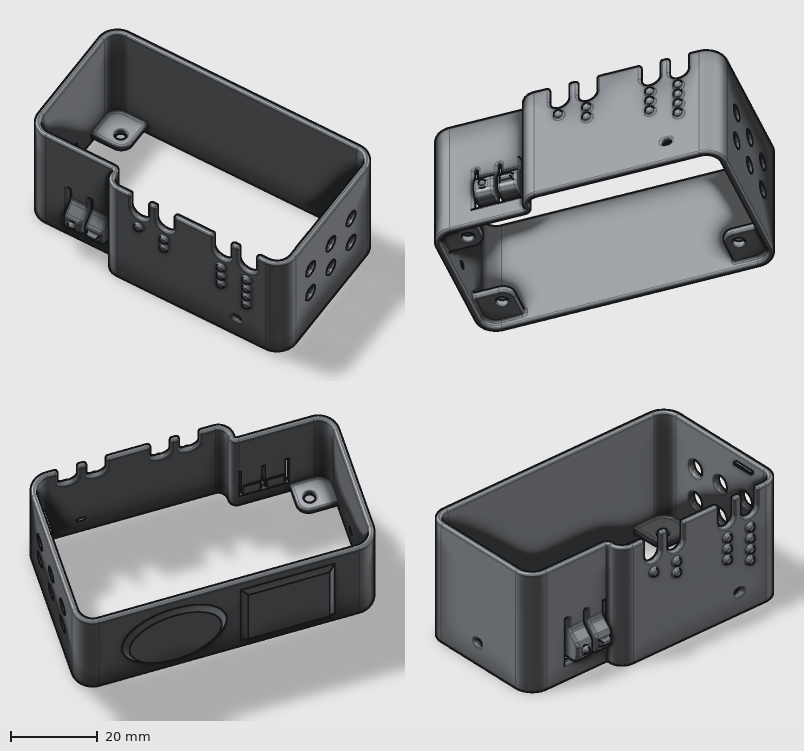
import cadquery as cq
import math

LENGTH = 73.0
DEPTH = 41.0
HEIGHT = 32.6
TOLERANCE = 0.01
WALL = 1.5
CORNER_RADIUS = 5.1
STEP_X = 23.6
STEP_DEPTH = 4.6
STEP_HOLLOW_RADIUS = 0.45
STEP_NOSE_RADIUS = 3.9
EDGE_FILLET = 0.65

SCREW_SPACING_X = 58.0
SCREW_SPACING_Y = 23.0
SCREW_X = (LENGTH - SCREW_SPACING_X) / 2
SCREW_BACK_Y = DEPTH - 7.45
SCREW_FRONT_Y = SCREW_BACK_Y - SCREW_SPACING_Y
SCREW_DIAMETER = 2.85
SCREW_HOLE_FILLET = 0.3
TAB_REACH = 3.4
TAB_CORNER_RADIUS = 3.0
TAB_BOTTOM = 2.05
TAB_TOP = 4.0
TAB_FILLET = 0.6

NOTCH_CENTERS = (33.6, 40.5, 56.0, 62.9)
NOTCH_WIDTH = 4.7
NOTCH_ARC_Z = 28.0
NOTCH_MOUTH_RADIUS = 0.7
STUD_TOP_Z = 22.9
STUD_PITCH = 3.0
STUD_DIAMETER = 2.1
STUD_HEIGHT = 0.95
STUD_FLARE = 0.45
STUD_TIP_FILLET = 0.45

SLOT_LENGTH = 2.2
SLOT_HEIGHT = 1.5
SLOT_Z = 6.35
FRONT_SLOT_X = 59.85
LEFT_SLOT_Y = 23.1

WINDOW_LEFT = 11.0
WINDOW_BOTTOM = 5.0
WINDOW_TOP = 17.1
BUTTON_GAP = 0.9
BUTTON_WIDTH = 4.9
BUTTON_RISE = 3.0
BUTTON_BOTTOM = 5.8
BUTTON_SHOULDER_Z = 10.8
BUTTON_ROUND = 2.0
BUTTON_MARK_Z = 8.8
DOT_DIAMETER = 1.7
BAR_LENGTH = 3.1
BAR_HEIGHT = 1.5
BAR_FLARE = 0.2
WINDOW_CORNER_RADIUS = 0.4
PAD_WIDTH = 4.1
PAD_HEIGHT = 4.1
PAD_THICKNESS = 0.3

VENT_DIAMETER = 4.0
VENT_PITCH = 8.75
VENT_FIRST_Y = 11.5
VENT_FIRST_Z = 12.4
VENT_COLUMNS = 3
VENT_ROWS = 2
CATCH_Y = 11.5
CATCH_Z = 30.1
CATCH_LENGTH = 6.05
CATCH_REACH = 0.8
CATCH_HEIGHT = 0.5

PLATE_LEFT = 11.0
PLATE_RIGHT = 33.7
DISC_X = 49.8
PANEL_BOTTOM = 3.6
PANEL_TOP = 28.9
PANEL_RISE = 1.0
PANEL_BEVEL = 1.5


def stepped_block(inset):
    """Solid with the frame's plan outline, moved inwards by inset."""
    left, right = inset, LENGTH - inset
    front, back = inset, DEPTH - inset
    step_x, step_y = STEP_X + inset, STEP_DEPTH + inset
    corner = CORNER_RADIUS - inset
    corners = [
        ((left, step_y), corner),
        ((step_x, step_y), STEP_HOLLOW_RADIUS + inset),
        ((step_x, front), STEP_NOSE_RADIUS - inset),
        ((right, front), corner),
        ((right, back), corner),
        ((left, back), corner),
    ]
    block = cq.Workplane("XY").polyline([point for point, _ in corners]).close().extrude(HEIGHT)
    for (x, y), radius in corners:
        block = block.edges(cq.NearestToPointSelector((x, y, HEIGHT / 2))).fillet(radius)
    return block


def box(x0, x1, y0, y1, z0, z1):
    return cq.Workplane("XY").box(x1 - x0, y1 - y0, z1 - z0, centered=False).translate((x0, y0, z0))


def edges_near(x0, x1, y0, y1, z0, z1):
    """Selector of the edges that lie wholly inside a box, with a small tolerance."""
    low = (x0 - TOLERANCE, y0 - TOLERANCE, z0 - TOLERANCE)
    high = (x1 + TOLERANCE, y1 + TOLERANCE, z1 + TOLERANCE)
    return cq.selectors.BoxSelector(low, high, boundingbox=True)


def front_profile(y):
    """Workplane facing -Y at depth y; local axes are X and Z, extruding negatively goes to +Y."""
    return cq.Workplane("XZ", origin=(0, y, 0))


def notched_frame():
    """Open frame with round-bottomed notches in its front rim and all rims rounded."""
    frame = stepped_block(0).cut(stepped_block(WALL))
    half = NOTCH_WIDTH / 2
    for x in NOTCH_CENTERS:
        notch = (
            front_profile(0)
            .moveTo(x - half, HEIGHT)
            .lineTo(x - half, NOTCH_ARC_Z)
            .threePointArc((x, NOTCH_ARC_Z - half), (x + half, NOTCH_ARC_Z))
            .lineTo(x + half, HEIGHT)
            .close()
            .extrude(-WALL)
        )
        frame = frame.cut(notch)
    notch_mouths = edges_near(CORNER_RADIUS, LENGTH - CORNER_RADIUS, 0, WALL, HEIGHT, HEIGHT)
    frame = frame.edges(notch_mouths).edges("|Y").fillet(NOTCH_MOUTH_RADIUS)
    first = NOTCH_CENTERS[0] - NOTCH_WIDTH
    last = NOTCH_CENTERS[-1] + NOTCH_WIDTH
    bottom = NOTCH_ARC_Z - NOTCH_WIDTH
    rims = edges_near(0, LENGTH, 0, DEPTH, 0, 0) + edges_near(0, LENGTH, 0, DEPTH, HEIGHT, HEIGHT)
    for y in (0, WALL):
        rims = rims + edges_near(first, last, y, y, bottom, HEIGHT)
    return frame.edges(rims).fillet(EDGE_FILLET)


def screw_tab(x, y, side_x, side_y):
    """Corner plate around the screw at x, y, running to the walls on its sides side_x and side_y."""
    tip_x = x - side_x * TAB_REACH
    tip_y = y - side_y * TAB_REACH
    root_x = x + side_x * SCREW_X
    root_y = y + side_y * SCREW_X
    plate = box(
        min(tip_x, root_x), max(tip_x, root_x), min(tip_y, root_y), max(tip_y, root_y), TAB_BOTTOM, TAB_TOP
    )
    tip_edge = cq.NearestToPointSelector((tip_x, tip_y, (TAB_BOTTOM + TAB_TOP) / 2))
    return plate.edges(tip_edge).fillet(TAB_CORNER_RADIUS)


def add_screw_tabs(frame):
    tabs = [
        (SCREW_X, SCREW_BACK_Y, -1, 1),
        (LENGTH - SCREW_X, SCREW_BACK_Y, 1, 1),
        (SCREW_X, SCREW_FRONT_Y, -1, -1),
    ]
    core = stepped_block(WALL / 2)
    for tab in tabs:
        frame = frame.union(screw_tab(*tab).intersect(core))
    inside = edges_near(
        WALL / 2, LENGTH - WALL / 2, STEP_DEPTH + WALL / 2, DEPTH - WALL / 2, TAB_BOTTOM, TAB_TOP
    )
    frame = frame.edges(inside).fillet(TAB_FILLET)
    for x, y, _, _ in tabs:
        hole = cq.Workplane("XY", origin=(x, y, 0)).circle(SCREW_DIAMETER / 2).extrude(HEIGHT)
        frame = frame.cut(hole)
        radius = SCREW_DIAMETER / 2
        rims = edges_near(x - radius, x + radius, y - radius, y + radius, TAB_BOTTOM, TAB_TOP)
        frame = frame.edges(rims).edges("%CIRCLE").fillet(SCREW_HOLE_FILLET)
    return frame


def spring_button(x):
    """Button on a spring strip hanging from the top of the window, left side at x."""
    nose = STEP_DEPTH - BUTTON_RISE
    back = STEP_DEPTH + WALL
    slope_top = BUTTON_SHOULDER_Z + BUTTON_RISE
    outline = [
        (back, BUTTON_BOTTOM),
        (back, WINDOW_TOP),
        (STEP_DEPTH, WINDOW_TOP),
        (STEP_DEPTH, slope_top),
        (nose, BUTTON_SHOULDER_Z),
        (nose, BUTTON_BOTTOM),
    ]
    button = cq.Workplane("YZ", origin=(x, 0, 0)).polyline(outline).close().extrude(BUTTON_WIDTH)
    for y, z in outline[3:]:
        bend = cq.NearestToPointSelector((x + BUTTON_WIDTH / 2, y, z))
        button = button.edges(bend).fillet(BUTTON_ROUND)
    return button


def stud(x, z, y, diameter):
    """Round stud with a flared base and a rounded tip, standing on the front face at depth y."""
    radius = diameter / 2
    arc_mid = 1 - math.sqrt(0.5)
    flare = STUD_FLARE
    tip = STUD_TIP_FILLET
    return (
        cq.Workplane("XY")
        .moveTo(0, WALL / 2)
        .lineTo(radius + flare, WALL / 2)
        .lineTo(radius + flare, 0)
        .threePointArc((radius + flare * arc_mid, -flare * arc_mid), (radius, -flare))
        .lineTo(radius, tip - STUD_HEIGHT)
        .threePointArc((radius - tip * arc_mid, tip * arc_mid - STUD_HEIGHT), (radius - tip, -STUD_HEIGHT))
        .lineTo(0, -STUD_HEIGHT)
        .close()
        .revolve(360, (0, 0, 0), (0, 1, 0))
        .translate((x, y, z))
    )


def add_spring_buttons(frame):
    back = STEP_DEPTH + WALL
    window_right = STEP_X - STEP_HOLLOW_RADIUS
    frame = frame.cut(box(WINDOW_LEFT, window_right, STEP_DEPTH, back, WINDOW_BOTTOM, WINDOW_TOP))
    pitch = BUTTON_WIDTH + BUTTON_GAP
    lefts = [WINDOW_LEFT + BUTTON_GAP + i * pitch for i in range(2)]
    for x in lefts:
        frame = frame.union(spring_button(x))
    gap_ends = [WINDOW_LEFT + i * pitch for i in range(2)]
    for x in gap_ends:
        corners = edges_near(x, x + BUTTON_GAP, STEP_DEPTH, back, WINDOW_TOP, WINDOW_TOP)
        frame = frame.edges(corners).edges("|Y").fillet(WINDOW_CORNER_RADIUS)
    button_right = lefts[-1] + BUTTON_WIDTH
    front = STEP_DEPTH
    nose = STEP_DEPTH - BUTTON_RISE
    arrises = edges_near(WINDOW_LEFT, button_right, nose, front + WALL / 2, WINDOW_BOTTOM, WINDOW_TOP)
    window_bottom = edges_near(WINDOW_LEFT, window_right, front, front, WINDOW_BOTTOM, WINDOW_BOTTOM)
    window_top = edges_near(WINDOW_LEFT, window_right, front, front, WINDOW_TOP, WINDOW_TOP)
    across = cq.selectors.ParallelDirSelector(cq.Vector(1, 0, 0))
    frame = frame.edges((arrises - across) + window_bottom + window_top).fillet(EDGE_FILLET)
    middles = [x + BUTTON_WIDTH / 2 for x in lefts]
    frame = frame.union(stud(middles[0], BUTTON_MARK_Z, nose, DOT_DIAMETER))
    bar = box(-BAR_LENGTH / 2, BAR_LENGTH / 2, -STUD_HEIGHT, WALL / 2, -BAR_HEIGHT / 2, BAR_HEIGHT / 2)
    bar = bar.faces("<Y").edges().fillet(STUD_TIP_FILLET)
    frame = frame.union(bar.translate((middles[1], nose, BUTTON_MARK_Z)))
    bar_foot = edges_near(
        middles[1] - BAR_LENGTH / 2, middles[1] + BAR_LENGTH / 2, nose, nose,
        BUTTON_MARK_Z - BAR_HEIGHT / 2, BUTTON_MARK_Z + BAR_HEIGHT / 2
    )
    frame = frame.edges(bar_foot).fillet(BAR_FLARE)
    for x in middles:
        frame = frame.union(box(
            x - PAD_WIDTH / 2, x + PAD_WIDTH / 2, back - WALL / 2, back + PAD_THICKNESS,
            BUTTON_BOTTOM, BUTTON_BOTTOM + PAD_HEIGHT
        ))
    return frame


def add_notch_studs(frame):
    """One stud below the first notch, two below the second, and so on."""
    for count, x in enumerate(NOTCH_CENTERS, start=1):
        for i in range(count):
            frame = frame.union(stud(x, STUD_TOP_Z - i * STUD_PITCH, 0, STUD_DIAMETER))
    return frame


def cut_slots(frame):
    front = front_profile(0).center(FRONT_SLOT_X, SLOT_Z).slot2D(SLOT_LENGTH, SLOT_HEIGHT).extrude(-WALL)
    left = cq.Workplane("YZ").center(LEFT_SLOT_Y, SLOT_Z).slot2D(SLOT_LENGTH, SLOT_HEIGHT).extrude(WALL)
    frame = frame.cut(front).cut(left)
    z0 = SLOT_Z - SLOT_HEIGHT
    z1 = SLOT_Z + SLOT_HEIGHT
    front_rim = edges_near(FRONT_SLOT_X - SLOT_LENGTH, FRONT_SLOT_X + SLOT_LENGTH, 0, 0, z0, z1)
    left_rim = edges_near(0, 0, LEFT_SLOT_Y - SLOT_LENGTH, LEFT_SLOT_Y + SLOT_LENGTH, z0, z1)
    return frame.edges(front_rim + left_rim).fillet(EDGE_FILLET)


def cut_vents(frame):
    inner_x = LENGTH - WALL
    for column in range(VENT_COLUMNS):
        for row in range(VENT_ROWS):
            y = VENT_FIRST_Y + column * VENT_PITCH
            z = VENT_FIRST_Z + row * VENT_PITCH
            vent = cq.Workplane("YZ", origin=(inner_x, y, z)).circle(VENT_DIAMETER / 2).extrude(WALL)
            frame = frame.cut(vent)
            rim = edges_near(inner_x, inner_x, y - VENT_DIAMETER, y + VENT_DIAMETER,
                             z - VENT_DIAMETER, z + VENT_DIAMETER)
            frame = frame.edges(rim).fillet(EDGE_FILLET)
    return frame


def catch():
    inner_x = LENGTH - WALL
    return box(
        inner_x - CATCH_REACH, LENGTH - WALL / 2, CATCH_Y - CATCH_LENGTH / 2, CATCH_Y + CATCH_LENGTH / 2,
        CATCH_Z - CATCH_HEIGHT / 2, CATCH_Z + CATCH_HEIGHT / 2
    )


def back_panels():
    """Beveled plate and beveled disc standing on the back wall."""
    middle_z = (PANEL_BOTTOM + PANEL_TOP) / 2
    height = PANEL_TOP - PANEL_BOTTOM
    slope = math.degrees(math.atan2(PANEL_BEVEL, PANEL_RISE))
    base = cq.Workplane("XZ", origin=(0, DEPTH, middle_z))
    plate = (
        base.center((PLATE_LEFT + PLATE_RIGHT) / 2, 0)
        .rect(PLATE_RIGHT - PLATE_LEFT, height)
        .extrude(-PANEL_RISE, taper=slope)
    )
    disc = base.center(DISC_X, 0).circle(height / 2).extrude(-PANEL_RISE, taper=slope)
    return plate.union(disc)


result = notched_frame()
result = add_screw_tabs(result)
result = add_spring_buttons(result)
result = add_notch_studs(result)
result = cut_slots(result)
result = cut_vents(result)
result = result.union(catch()).union(back_panels())